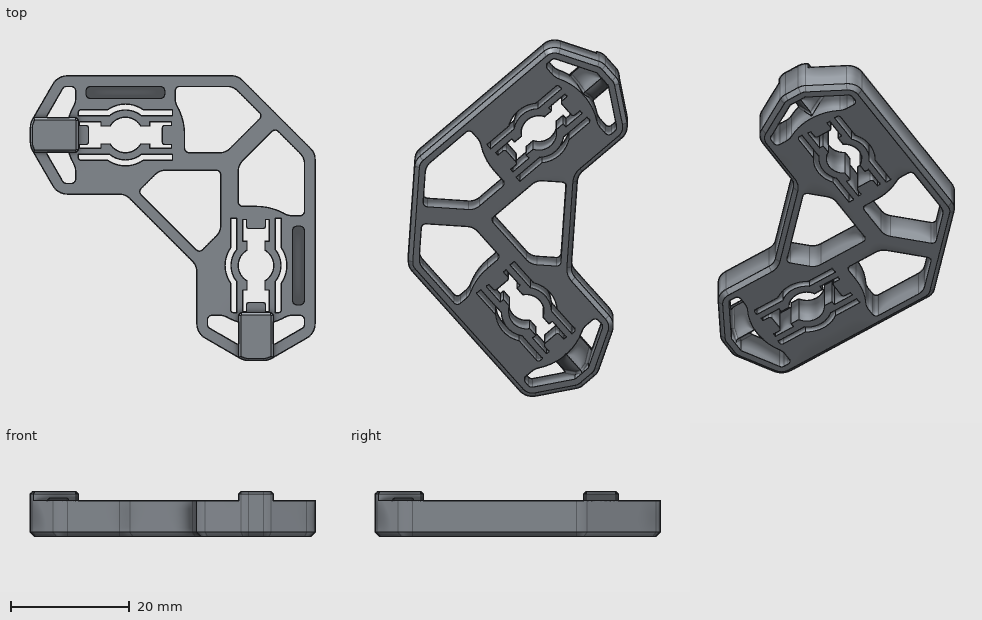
import cadquery as cq
import math


overall_size = 48.0
plate_height = 6.1
arm_half_width = 10.0
arm_reach = overall_size - arm_half_width
tip_half_width = 1.95
tip_slope = math.radians(60)
outer_corner = 3.05
rim = 1.8
bottom_chamfer = 0.75
bend_radius = 2.5
shoulder_radius = 2.9
corner_radius = 1.5 / 2

clip_x = -22.0
clip_hole_radius = 3.0
clip_ring_radius = 4.2
relief_width = 0.95
relief_half_length = 7.9
relief_end_radius = 0.45
spring_inner = 2.2
spring_outer = 3.25
land_inner = 1.5
land_half_length = 4.15
clip_half_length = 7.75
nose_reach = 1.55
nose_half_width = 1.65
nose_radius = 0.5
clip_zone_half_length = 8.4
clip_zone_radius = arm_half_width

rib_edge = 3.0
rib_width = 3.0
diagonal_rib_half_width = 1.5
inner_opening_half_length = 7.3

pocket_half_length = 6.6
pocket_width = 2.0
pocket_depth = 4.0

pad_height = 1.5
pad_half_width = 2.95
pad_inner_x = -29.9
pad_chamfer = 0.4
keel_rise = 0.4
keel_slope = math.radians(60)
keel_radius = 0.4

margin = 0.05


def rounded_polygon(corners, height):
    """Prism on a polygon of (x, y, radius) corners; each corner is rounded by a tangent arc."""
    points = [cq.Vector(x, y) for x, y, _ in corners]
    ends = []
    for i, (_, _, radius) in enumerate(corners):
        corner = points[i]
        back = (points[i - 1] - corner).normalized()
        ahead = (points[(i + 1) % len(points)] - corner).normalized()
        half_angle = back.getAngle(ahead) / 2
        tangent = radius / math.tan(half_angle)
        middle = (back + ahead).normalized() * (radius / math.sin(half_angle) - radius)
        ends.append((corner + back * tangent, corner + middle, corner + ahead * tangent))
    edges = []
    for i, (start, middle, end) in enumerate(ends):
        if corners[i][2] > 0:
            edges.append(cq.Edge.makeThreePointArc(start, middle, end))
        edges.append(cq.Edge.makeLine(end, ends[(i + 1) % len(ends)][0]))
    wire = cq.Wire.assembleEdges(edges)
    return cq.Workplane(cq.Solid.extrudeLinear(wire, [], cq.Vector(0, 0, height)))


def block(x_min, x_max, y_min, y_max, height=plate_height):
    """Box standing on the bottom plane."""
    size = (x_max - x_min, y_max - y_min, height)
    return cq.Workplane().box(*size, centered=False).translate((x_min, y_min, 0))


def clip_cylinder(radius, height=plate_height):
    """Cylinder around the axis of the clip hole."""
    return cq.Workplane().center(clip_x, 0).circle(radius).extrude(height)


def mirrored(body):
    """The same body on the other arm."""
    return body.mirror(cq.Vector(1, -1, 0))


def swapped(corners):
    """Corners mirrored about x = y, in reverse order so that an outline carries on through them."""
    return [(y, x, radius) for x, y, radius in reversed(corners)]


def outline(height):
    """Prism on the outer contour of both arms."""
    shoulder_x = -arm_reach + (arm_half_width - tip_half_width) / math.tan(tip_slope)
    arm = [
        (clip_x, -arm_half_width, bend_radius),
        (shoulder_x, -arm_half_width, shoulder_radius),
        (-arm_reach, -tip_half_width, bend_radius),
        (-arm_reach, tip_half_width, bend_radius),
        (shoulder_x, arm_half_width, shoulder_radius),
        (-outer_corner, arm_half_width, bend_radius),
    ]
    return rounded_polygon(arm + swapped(arm), height)


def pad():
    """Pad following the tip outline; its foot stays above the bottom chamfer of the plate."""
    height = plate_height + pad_height
    body = block(-arm_reach, pad_inner_x, -pad_half_width, pad_half_width, height)
    body = body.edges("|Z and >X").chamfer(pad_chamfer)
    body = body.intersect(outline(height)).faces(">Z").chamfer(pad_chamfer)
    return body.cut(block(-arm_reach, pad_inner_x, -pad_half_width, pad_half_width, plate_height / 2))


def round_zone_corners(opening, wall_x):
    """Blend the straight end wall of the clip zone into its round part."""
    corner_y = math.sqrt(clip_zone_radius**2 - clip_zone_half_length**2)
    corners = cq.selectors.BoxSelector(
        (wall_x - margin, -corner_y - margin, 0),
        (wall_x + margin, corner_y + margin, plate_height),
    )
    return opening.edges("|Z").edges(corners).fillet(bend_radius)


def tip_opening():
    """Opening across the arm tip; a V-shaped keel hangs through it under the pad."""
    wall_x = clip_x - clip_zone_half_length
    side = arm_half_width - rim
    height = plate_height + keel_rise
    end_x = -arm_reach + rim
    end_half_width = tip_half_width - rim * math.tan((math.pi / 2 - tip_slope) / 2)
    slope_end_x = end_x + (side - end_half_width) / math.tan(tip_slope)
    half = [
        (end_x, end_half_width, 0),
        (slope_end_x, side, corner_radius),
        (wall_x, side, corner_radius),
    ]
    other_half = [(x, -y, radius) for x, y, radius in reversed(half)]
    body = rounded_polygon(half + other_half, height).cut(clip_cylinder(clip_zone_radius, height))
    keel = (
        cq.Workplane("YZ")
        .polyline([
            (-pad_half_width, height),
            (0, height - pad_half_width * math.tan(keel_slope)),
            (pad_half_width, height),
        ])
        .close()
        .extrude(-arm_reach)
    )
    body = round_zone_corners(body.cut(keel), wall_x)
    keel_rims = cq.selectors.BoxSelector(
        (-arm_reach, -pad_half_width, margin),
        (clip_x, pad_half_width, plate_height),
    )
    return body.edges("(not |X) and (not |Z)").edges(keel_rims).fillet(keel_radius)


def large_opening():
    """Opening between the clip and the diagonal rib."""
    side = arm_half_width - rim
    wall_x = clip_x + clip_zone_half_length
    near_x = clip_x + clip_zone_radius
    edge_sum = arm_half_width - outer_corner - rim * math.sqrt(2)
    rib_offset = diagonal_rib_half_width * math.sqrt(2)
    corners = [
        (wall_x, side, corner_radius),
        (edge_sum - side, side, bend_radius),
        ((edge_sum - rib_offset) / 2, (edge_sum + rib_offset) / 2, corner_radius),
        (-rib_edge - rib_offset, -rib_edge, bend_radius),
        (near_x, -rib_edge, corner_radius),
        (near_x, 0, 0),
        (wall_x, 0, 0),
    ]
    body = rounded_polygon(corners, plate_height).cut(clip_cylinder(clip_zone_radius))
    return round_zone_corners(body, wall_x)


def inner_opening():
    """Opening on the mirror plane, behind the diagonal inner edge."""
    edge = -rib_edge - rib_width
    edge_sum = clip_x - arm_half_width + rim * math.sqrt(2)
    end_offset = inner_opening_half_length * math.sqrt(2)
    half = [
        ((edge_sum - end_offset) / 2, (edge_sum + end_offset) / 2, corner_radius),
        (edge - end_offset, edge, bend_radius),
    ]
    return rounded_polygon(half + [(edge, edge, corner_radius)] + swapped(half), plate_height)


def clip_nose(side):
    """Nose on the end of the clip opening that faces along side (+1 or -1)."""
    root = clip_x + side * clip_half_length
    tip = root - side * nose_reach
    return rounded_polygon([
        (root, -nose_half_width, 0),
        (tip, -nose_half_width, nose_radius),
        (tip, nose_half_width, nose_radius),
        (root, nose_half_width, 0),
    ], plate_height)


def clip_opening():
    """Hole, lands and spring gaps of one clip, without the two noses."""
    ends = (clip_x - clip_half_length, clip_x + clip_half_length)
    lands = (clip_x - land_half_length, clip_x + land_half_length)
    body = block(*ends, -land_inner, land_inner).union(clip_cylinder(clip_hole_radius))
    body = body.union(block(ends[0], lands[0], -spring_inner, spring_inner))
    body = body.union(block(lands[1], ends[1], -spring_inner, spring_inner))
    return body.cut(clip_nose(1)).cut(clip_nose(-1))


def relief_slits():
    """Slits on both sides of the clip, bulging around the ring and round at the tip end."""
    ends = (clip_x - relief_half_length, clip_x + relief_half_length)
    outer = spring_outer + relief_width
    keep = block(*ends, -spring_outer, spring_outer).union(clip_cylinder(clip_ring_radius))
    body = block(*ends, -outer, outer).edges("|Z and <X").fillet(relief_end_radius)
    body = body.union(clip_cylinder(clip_ring_radius + relief_width))
    return body.cut(keep)


def pocket():
    """Blind pocket beside the clip."""
    side = arm_half_width - rim
    ends = (clip_x - pocket_half_length, clip_x + pocket_half_length)
    body = block(*ends, side - pocket_width, side, pocket_depth)
    return body.edges("|Z").fillet(corner_radius).translate((0, 0, plate_height - pocket_depth))


arm_cuts = [
    tip_opening(),
    large_opening(),
    clip_opening(),
    relief_slits(),
    pocket(),
]

result = outline(plate_height).faces("<Z").chamfer(bottom_chamfer)
result = result.union(pad()).union(mirrored(pad()))
result = result.cut(inner_opening())
for cut in arm_cuts:
    result = result.cut(cut).cut(mirrored(cut))